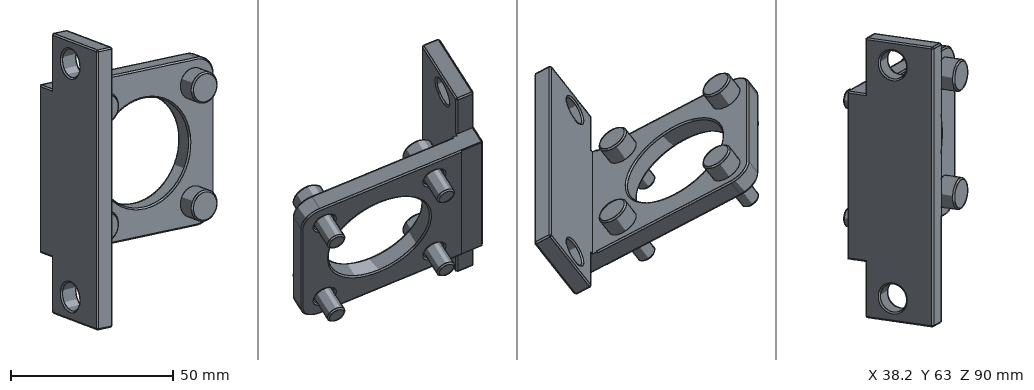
import cadquery as cq


height = 90.0
flange_end_x = 30.0
ear_start_x = 6.5
thickness = 6.0
ear_hole_diameter = 9.0
ear_hole_spacing = 75.0
ear_hole_x = 16.0

plate_depth = 63.0
plate_width = 54.0
corner_radius = 6.5
bore_diameter = 35.0
relief_depth = 0.3
relief_length = 7.6

screw_pitch = 38.0
screw_hole_diameter = 7.0
shank_diameter = 6.0
shank_projection = 8.2
head_diameter = 10.0
head_length = 6.0

edge_chamfer = 0.5

middle_z = height / 2
plate_z_range = (middle_z - plate_width / 2, middle_z + plate_width / 2)
bore_y = plate_depth - plate_width / 2


def box(x_range, y_range, z_range):
    """Box given by its lower and upper limit along each axis."""
    sizes = [high - low for low, high in (x_range, y_range, z_range)]
    corner = (x_range[0], y_range[0], z_range[0])
    return cq.Workplane("XY").box(*sizes, centered=False).translate(corner)


def rod_x(diameter, start_x, end_x):
    """Cylinder centred on the X axis."""
    return cq.Workplane("YZ").workplane(offset=start_x).circle(diameter / 2).extrude(end_x - start_x)


def chamfered_hole(diameter):
    """Cutting tool along +Z for a hole through the thickness, with both rims chamfered."""
    radius = diameter / 2
    rim = radius + edge_chamfer
    profile = [
        (0, 0),
        (rim, 0),
        (radius, edge_chamfer),
        (radius, thickness - edge_chamfer),
        (rim, thickness),
        (0, thickness),
    ]
    return cq.Workplane("XZ").polyline(profile).close().revolve(360, (0, 0, 0), (0, 1, 0))


def plate_hole(diameter):
    """Hole tool turned to run along +X, through the plate."""
    return chamfered_hole(diameter).rotate((0, 0, 0), (0, 1, 0), 90)


def flange_hole(diameter):
    """Hole tool turned to run along +Y, through the flange."""
    return chamfered_hole(diameter).rotate((0, 0, 0), (1, 0, 0), -90)


def make_plate():
    """Plate beyond the relief, with rounded far corners and broken edges."""
    plate = box((0, thickness), (relief_length, plate_depth), plate_z_range)
    plate = plate.edges("|X and >Y").fillet(corner_radius)
    return plate.faces("<X or >X").edges("not(<Y)").chamfer(edge_chamfer)


def make_flange():
    """Flange with two ears, joined to the relieved root of the plate."""
    ears = box((ear_start_x, flange_end_x), (0, thickness), (0, height))
    ears = ears.edges("not <Y").chamfer(edge_chamfer)
    bridge = box((thickness, ear_start_x + edge_chamfer), (0, thickness), plate_z_range)
    root = box((relief_depth, thickness), (0, relief_length), plate_z_range)
    flange = ears.union(bridge).union(root).clean()
    flange = flange.faces("<Y").edges().chamfer(edge_chamfer)
    return flange.edges("|Y and <X").chamfer(edge_chamfer - relief_depth)


def make_screw():
    """Cap screw on the X axis, its head seated on the plate's inner face."""
    shank = rod_x(shank_diameter, -shank_projection, thickness)
    shank = shank.faces("<X").chamfer(edge_chamfer)
    head = rod_x(head_diameter, thickness, thickness + head_length)
    head = head.faces(">X").chamfer(edge_chamfer)
    return shank.union(head)


bracket = make_plate().union(make_flange())

bracket = bracket.cut(plate_hole(bore_diameter).translate((0, bore_y, middle_z)))

for side in (-1, 1):
    ear_hole_z = middle_z + side * ear_hole_spacing / 2
    bracket = bracket.cut(flange_hole(ear_hole_diameter).translate((ear_hole_x, 0, ear_hole_z)))

for side_y in (-1, 1):
    for side_z in (-1, 1):
        place = (0, bore_y + side_y * screw_pitch / 2, middle_z + side_z * screw_pitch / 2)
        bracket = bracket.cut(plate_hole(screw_hole_diameter).translate(place))
        bracket = bracket.union(make_screw().translate(place))

result = bracket